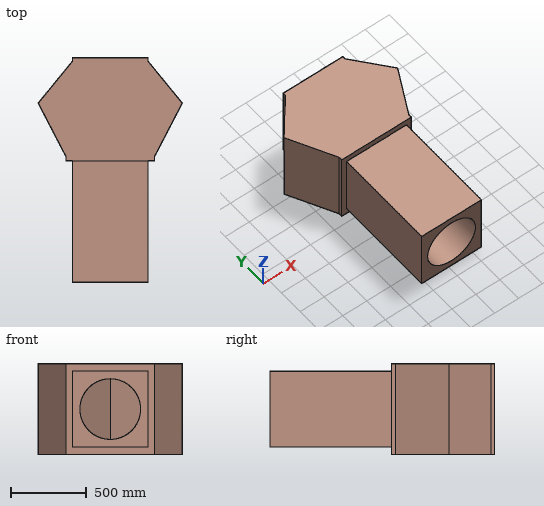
import cadquery as cq

total_length = 1480.0
head_width = 950.0
head_height = 600.0

neck_side = 500.0
neck_length = 800.0

front_face_width = 583.0
rear_face_width = 500.0
front_lip = 27.0
rear_lip = 24.0
corner_to_rear = 299.0

bore_diameter = 400.0
wedge_ridge_depth = 928.0
wedge_half_width = 266.0
wedge_rise = 222.0


def make_head():
    """Prism with a hexagonal plan, symmetric about the YZ plane."""
    front = neck_length
    rear = total_length
    right_side = [
        (front_face_width / 2, front),
        (front_face_width / 2, front + front_lip),
        (head_width / 2, rear - corner_to_rear),
        (rear_face_width / 2, rear - rear_lip),
        (rear_face_width / 2, rear),
    ]
    left_side = [(-x, y) for x, y in reversed(right_side)]
    plan = cq.Workplane("XY").polyline(right_side + left_side).close()
    return plan.extrude(head_height / 2, both=True)


def make_neck():
    """Square bar from the open end to the front of the head."""
    return cq.Workplane("XY").box(neck_side, neck_length, neck_side, centered=(True, False, True))


def make_bore():
    """Cylinder along Y with a V-shaped blind end."""
    wedge_back = wedge_ridge_depth + wedge_rise
    cylinder = cq.Workplane("XZ").circle(bore_diameter / 2).extrude(-wedge_back)
    wedge_plan = [
        (0, wedge_ridge_depth),
        (wedge_half_width, wedge_back),
        (-wedge_half_width, wedge_back),
    ]
    wedge = cq.Workplane("XY").polyline(wedge_plan).close().extrude(head_height / 2, both=True)
    return cylinder.cut(wedge)


result = make_head().union(make_neck()).cut(make_bore())